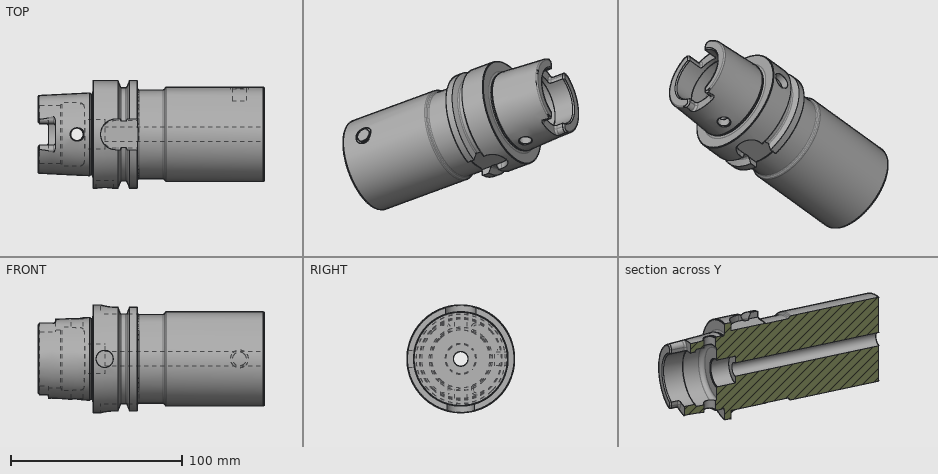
import cadquery as cq
import math


flange_radius = 31.5
flange_width = 26.0
flange_chamfer = 0.4
groove_radius = 27.3
groove_centre_x = 18.0
groove_floor_width = 3.4
groove_fillet = 0.8
groove_flank_angle = 22.0

shank_length = 31.9
gauge_radius = 24.0
gauge_x = -6.3
taper_rate = 1 / 20
shank_end_round = 0.8
taper_end_x = -1.95
relief_start_x = -1.2
relief_end_x = -0.4
relief_radius = 23.7
relief_outer_radius = 25.2

neck_radius = 26.0
neck_fillet = 1.0
sleeve_radius = 27.6
shoulder_x = 42.0
shoulder_angle = 33.0
shoulder_fillet = 0.9
holder_end_x = 100.0
sleeve_end_chamfer = 0.8
sleeve_end_drop = 0.4

mouth_radius = 16.9
mouth_chamfer = 0.75
mouth_depth = 13.0
cavity_radius = 18.5
clamp_cone_angle = 60.0
cavity_floor_x = -5.0
cavity_floor_fillet = 2.8
thread_radius = 8.6
thread_chamfer = 0.5
thread_depth = 12.0
coolant_radius = 4.2

slot_half_width = 6.15
slot_edge_round = 2.8
slot_edge_fall = 14.0
slot_edge_height = 18.2
slot_floor_fillet = 1.2
slot_entry_width = 1.2
slot_entry_depth = 0.8
slot_entry_overrun = 0.1
upper_slot_depth = 10.1
lower_slot_depth = 6.0

cross_hole_x = -9.3
cross_hole_radius = 3.6
cross_hole_chamfer = 0.6
keyway_floor_height = 26.2
keyway_start_x = 4.5
upper_keyway_width = 18.0
lower_keyway_width = 16.0
chip_hole_x = 6.9
chip_hole_radius = 5.0
chip_hole_depth = 4.6

screw_x = 85.5
screw_radius = 4.0
screw_length = 8.0
screw_recess_radius = 5.2
screw_recess_depth = 1.0

clearance = 1.0
shank_end_x = -shank_length


def taper_radius(x):
    return gauge_radius + (x - gauge_x) * taper_rate


def axial_slab(start_x, end_x):
    """Selector for everything centred between two stations along the axis."""
    return cq.selectors.BoxSelector(
        (start_x, -flange_radius, -flange_radius), (end_x, flange_radius, flange_radius)
    )


def outer_body():
    flank_run = (flange_radius - groove_radius) * math.tan(math.radians(groove_flank_angle))
    shoulder_run = (sleeve_radius - neck_radius) * math.tan(math.radians(shoulder_angle))
    floor_start = groove_centre_x - groove_floor_width / 2
    floor_end = groove_centre_x + groove_floor_width / 2
    profile = (
        cq.Workplane("XY")
        .moveTo(shank_end_x, 0)
        .lineTo(shank_end_x, taper_radius(shank_end_x))
        .lineTo(taper_end_x, taper_radius(taper_end_x))
        .lineTo(relief_start_x, relief_radius)
        .lineTo(relief_end_x, relief_radius)
        .lineTo(0, relief_outer_radius)
        .lineTo(0, flange_radius - flange_chamfer)
        .lineTo(flange_chamfer, flange_radius)
        .lineTo(floor_start - flank_run, flange_radius)
        .lineTo(floor_start, groove_radius)
        .lineTo(floor_end, groove_radius)
        .lineTo(floor_end + flank_run, flange_radius)
        .lineTo(flange_width - flange_chamfer, flange_radius)
        .lineTo(flange_width, flange_radius - flange_chamfer)
        .lineTo(flange_width, neck_radius + neck_fillet)
        .radiusArc((flange_width + neck_fillet, neck_radius), -neck_fillet)
        .lineTo(shoulder_x - shoulder_run / 2, neck_radius)
        .lineTo(shoulder_x + shoulder_run / 2, sleeve_radius)
        .lineTo(holder_end_x - sleeve_end_chamfer, sleeve_radius)
        .lineTo(holder_end_x, sleeve_radius - sleeve_end_drop)
        .lineTo(holder_end_x, 0)
        .close()
    )
    body = profile.revolve(360, (0, 0, 0), (1, 0, 0))
    body = body.faces("<X").edges().fillet(shank_end_round)
    groove_corners = axial_slab(floor_start - clearance, floor_end + clearance)
    body = body.edges("%CIRCLE").edges(groove_corners).fillet(groove_fillet)
    shoulder_corners = axial_slab(shoulder_x - clearance, shoulder_x + clearance)
    return body.edges("%CIRCLE").edges(shoulder_corners).fillet(shoulder_fillet)


def inner_cavity():
    cone_start = shank_end_x + mouth_depth
    cone_run = (cavity_radius - mouth_radius) / math.tan(math.radians(clamp_cone_angle))
    thread_end = cavity_floor_x + thread_depth
    profile = (
        cq.Workplane("XY")
        .moveTo(shank_end_x, 0)
        .lineTo(shank_end_x, mouth_radius + mouth_chamfer)
        .lineTo(shank_end_x + mouth_chamfer, mouth_radius)
        .lineTo(cone_start, mouth_radius)
        .lineTo(cone_start + cone_run, cavity_radius)
        .lineTo(cavity_floor_x - cavity_floor_fillet, cavity_radius)
        .radiusArc((cavity_floor_x, cavity_radius - cavity_floor_fillet), cavity_floor_fillet)
        .lineTo(cavity_floor_x, thread_radius + thread_chamfer)
        .lineTo(cavity_floor_x + thread_chamfer, thread_radius)
        .lineTo(thread_end, thread_radius)
        .lineTo(thread_end, coolant_radius)
        .lineTo(holder_end_x, coolant_radius)
        .lineTo(holder_end_x, 0)
        .close()
    )
    return profile.revolve(360, (0, 0, 0), (1, 0, 0))


def slot_outline(x, growth):
    """Upper slot outline across the shank, with its walls moved outward by growth."""
    half_width = slot_half_width + growth
    edge_round = slot_edge_round - growth
    edge_centre_y = slot_half_width + slot_edge_round

    def on_edge(degrees):
        angle = math.radians(degrees)
        y = edge_centre_y + edge_round * math.cos(angle)
        return y, slot_edge_height + edge_round * math.sin(angle)

    def mirrored(point):
        return -point[0], point[1]

    edge_end_angle = 90 - slot_edge_fall
    edge_end = on_edge(edge_end_angle)
    edge_middle = on_edge((180 + edge_end_angle) / 2)
    outer = flange_radius
    slope = math.tan(math.radians(slot_edge_fall))
    outer_low = (outer, edge_end[1] - (outer - edge_end[0]) * slope)
    return (
        cq.Workplane("YZ", origin=(x, 0, 0))
        .moveTo(-half_width, 0)
        .lineTo(-half_width, slot_edge_height)
        .threePointArc(mirrored(edge_middle), mirrored(edge_end))
        .lineTo(*mirrored(outer_low))
        .lineTo(-outer, outer)
        .lineTo(outer, outer)
        .lineTo(*outer_low)
        .lineTo(*edge_end)
        .threePointArc(edge_middle, (half_width, slot_edge_height))
        .lineTo(half_width, 0)
        .close()
    )


def drive_slot(depth):
    slot = slot_outline(shank_end_x - clearance, 0).extrude(depth + clearance)
    floor_profile = cq.selectors.BoxSelector(
        (shank_end_x, -flange_radius + clearance, clearance),
        (0, flange_radius - clearance, flange_radius - clearance),
    )
    return slot.faces(">X").edges(floor_profile).fillet(slot_floor_fillet)


def slot_entry():
    """Shallow flared cutter that bevels the slot walls at the shank end."""
    spread = slot_entry_width / slot_entry_depth
    length = slot_entry_depth + slot_entry_overrun
    outline = slot_outline(shank_end_x - slot_entry_overrun, length * spread)
    return outline.extrude(length, taper=math.degrees(math.atan(spread)))


def keyway(width):
    """Round-ended pocket with a flat floor, open to the back of the flange."""
    radius = width / 2
    centre_x = keyway_start_x + radius
    end_x = flange_width + neck_fillet
    height = flange_radius - keyway_floor_height + clearance
    return (
        cq.Workplane("XY", origin=(0, 0, keyway_floor_height))
        .moveTo(end_x, -radius)
        .lineTo(centre_x, -radius)
        .threePointArc((keyway_start_x, 0), (centre_x, radius))
        .lineTo(end_x, radius)
        .close()
        .extrude(height)
    )


def half_turn(shape):
    return shape.rotate((0, 0, 0), (1, 0, 0), 180)


def cross_hole():
    length = 2 * flange_radius
    hole = (
        cq.Workplane("XY", origin=(cross_hole_x, 0, -flange_radius))
        .circle(cross_hole_radius)
        .extrude(length)
    )
    surface = taper_radius(cross_hole_x)
    sink = (
        cq.Workplane("XY", origin=(cross_hole_x, 0, surface - cross_hole_chamfer))
        .circle(cross_hole_radius)
        .workplane(offset=cross_hole_chamfer)
        .circle(cross_hole_radius + cross_hole_chamfer)
        .loft()
    )
    return hole.union(sink).union(half_turn(sink))


def chip_hole():
    floor_y = -flange_radius + chip_hole_depth
    return (
        cq.Workplane("XZ", origin=(chip_hole_x, floor_y, 0))
        .circle(chip_hole_radius)
        .extrude(chip_hole_depth + clearance)
    )


def screw_cylinder(radius, depth, top_y):
    """Cylinder across the sleeve, from depth below the sleeve surface up to top_y."""
    bottom_y = sleeve_radius - depth
    return (
        cq.Workplane("XZ", origin=(screw_x, bottom_y, 0))
        .circle(radius)
        .extrude(bottom_y - top_y)
    )


def make_holder():
    holder = outer_body().cut(inner_cavity())
    holder = holder.cut(drive_slot(upper_slot_depth)).cut(slot_entry())
    holder = holder.cut(half_turn(drive_slot(lower_slot_depth))).cut(half_turn(slot_entry()))
    holder = holder.cut(cross_hole())
    holder = holder.cut(keyway(upper_keyway_width))
    holder = holder.cut(half_turn(keyway(lower_keyway_width)))
    holder = holder.cut(chip_hole())
    top_y = sleeve_radius + clearance
    holder = holder.cut(screw_cylinder(screw_radius, screw_length, top_y))
    return holder.cut(screw_cylinder(screw_recess_radius, screw_recess_depth, top_y))


def make_clamping_screw():
    return screw_cylinder(screw_radius, screw_length, sleeve_radius)


holder = make_holder()
clamping_screw = make_clamping_screw()

result = cq.Compound.makeCompound([holder.val(), clamping_screw.val()])